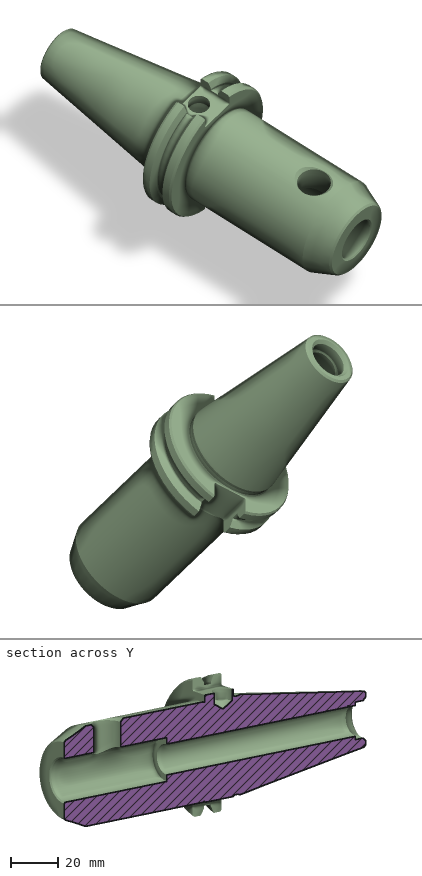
import cadquery as cq
import math

length = 163.5

taper_rate = 7 / 24
gauge_diameter = 44.5
gauge_x = 68.0
shank_end_chamfer = 0.8
relief_diameter = 43.7
relief_start_x = 69.5

flange_diameter = 63.3
flange_start_x = 71.6
flange_root_chamfer = 0.5
flange_end_x = 87.3
flange_chamfer_length = 1.0
flange_chamfer_depth = 0.7
groove_diameter = 55.6
groove_slope_end_diameter = 57.5
groove_mouth_start_x = 75.9
groove_mouth_end_x = 82.9
groove_floor_start_x = 77.3
groove_floor_end_x = 81.1

body_diameter = 44.5
body_neck_diameter = 43.7
body_start_x = 88.3
nose_start_x = 151.9
nose_diameter = 35.3
nose_chamfer = 0.8

slot_width = 16.4
slot_corner_radius = 0.7
top_slot_floor_z = 25.0
bottom_slot_floor_z = -22.4

dimple_diameter = 9.5
dimple_x = 77.3
dimple_depth = 4.9
drill_point_angle = 118.0

through_diameter = 13.4
pilot_diameter = 16.4
pilot_depth = 5.5
pilot_mouth_diameter = 19.1
tool_bore_diameter = 19.1
tool_bore_depth = 55.6
tool_mouth_diameter = 20.3

screw_diameter = 14.4
screw_x = 140.1
screw_mouth_diameter = 17.3


def revolve_about_x(points):
    """Revolve a closed (X, radius) outline about the X axis."""
    return cq.Workplane("XY").polyline(points).close().revolve(360, (0, 0, 0), (1, 0, 0))


def make_outside():
    shank_radius = (gauge_diameter - gauge_x * taper_rate) / 2
    chamfered_radius = shank_radius + shank_end_chamfer * taper_rate / 2
    flange_radius = flange_diameter / 2
    rim_radius = flange_radius - flange_chamfer_depth
    slope_end_radius = groove_slope_end_diameter / 2
    groove_radius = groove_diameter / 2
    nose_radius = nose_diameter / 2
    return revolve_about_x([
        (0, 0),
        (0, shank_radius - shank_end_chamfer),
        (shank_end_chamfer, chamfered_radius),
        (gauge_x, gauge_diameter / 2),
        (relief_start_x, relief_diameter / 2),
        (flange_start_x - flange_root_chamfer, relief_diameter / 2),
        (flange_start_x, relief_diameter / 2 + flange_root_chamfer),
        (flange_start_x, rim_radius),
        (flange_start_x + flange_chamfer_length, flange_radius),
        (groove_mouth_start_x, flange_radius),
        (groove_floor_start_x, slope_end_radius),
        (groove_floor_start_x, groove_radius),
        (groove_floor_end_x, groove_radius),
        (groove_floor_end_x, slope_end_radius),
        (groove_mouth_end_x, flange_radius),
        (flange_end_x - flange_chamfer_length, flange_radius),
        (flange_end_x, rim_radius),
        (flange_end_x, body_neck_diameter / 2),
        (body_start_x, body_diameter / 2),
        (nose_start_x, body_diameter / 2),
        (length - nose_chamfer, nose_radius),
        (length, nose_radius - nose_chamfer),
        (length, 0),
    ])


def make_bores():
    pilot_chamfer = (pilot_mouth_diameter - pilot_diameter) / 2
    tool_chamfer = (tool_mouth_diameter - tool_bore_diameter) / 2
    tool_bore_start_x = length - tool_bore_depth
    return revolve_about_x([
        (0, 0),
        (0, pilot_mouth_diameter / 2),
        (pilot_chamfer, pilot_diameter / 2),
        (pilot_depth, pilot_diameter / 2),
        (pilot_depth, through_diameter / 2),
        (tool_bore_start_x, through_diameter / 2),
        (tool_bore_start_x, tool_bore_diameter / 2),
        (length - tool_chamfer, tool_bore_diameter / 2),
        (length, tool_mouth_diameter / 2),
        (length, 0),
    ])


def make_slot(floor_z):
    """Box from a slot floor outward past the flange rim, with rounded floor corners."""
    slot_length = flange_end_x - flange_start_x
    height = flange_diameter / 2
    center_z = floor_z + math.copysign(height / 2, floor_z)
    floor_face = "<Z" if floor_z > 0 else ">Z"
    slot = cq.Workplane("XY").box(slot_length, slot_width, height)
    slot = slot.faces(floor_face).edges("|X").fillet(slot_corner_radius)
    return slot.translate(((flange_start_x + flange_end_x) / 2, 0, center_z))


def revolve_about_z(points, x):
    """Revolve a closed (radius, Z) outline about a vertical axis at the given X."""
    profile = cq.Workplane("XZ").polyline(points).close()
    return profile.revolve(360, (0, 0, 0), (0, 1, 0)).translate((x, 0, 0))


def make_dimple():
    radius = dimple_diameter / 2
    shoulder_z = top_slot_floor_z - dimple_depth
    point_depth = radius / math.tan(math.radians(drill_point_angle / 2))
    return revolve_about_z([
        (0, top_slot_floor_z),
        (radius, top_slot_floor_z),
        (radius, shoulder_z),
        (0, shoulder_z - point_depth),
    ], dimple_x)


def make_screw_hole():
    """Hole from the top of the body to the axis, with a 45 degree countersink."""
    top_z = body_diameter / 2
    countersink_depth = (screw_mouth_diameter - screw_diameter) / 2
    return revolve_about_z([
        (0, 0),
        (screw_diameter / 2, 0),
        (screw_diameter / 2, top_z - countersink_depth),
        (screw_mouth_diameter / 2, top_z),
        (0, top_z),
    ], screw_x)


result = make_outside().cut(make_bores())
for slot_floor_z in (top_slot_floor_z, bottom_slot_floor_z):
    result = result.cut(make_slot(slot_floor_z))
result = result.cut(make_dimple()).cut(make_screw_hole())